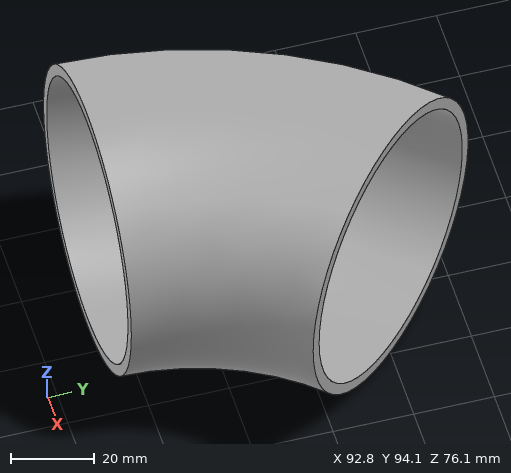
import cadquery as cq
import math

outer_diameter = 76.1
wall = 2.9
bend_angle = 45.0
length_y = 94.1

outer_radius = outer_diameter / 2
inner_radius = outer_radius - wall
bend_radius = length_y / math.sin(math.radians(bend_angle)) - outer_radius

section = cq.Workplane("XZ").circle(outer_radius).circle(inner_radius)
result = section.revolve(bend_angle, (bend_radius, 0, 0), (bend_radius, -1, 0))